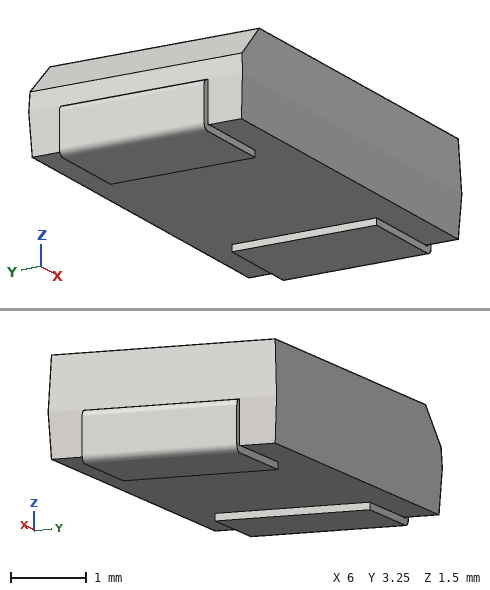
import cadquery as cq
import math

overall_length = 6.0
overall_height = 1.5

lead_thickness = 0.1
lead_width = 2.2
lead_top = 0.72
left_foot_length = 1.35
right_foot_length = 1.44

body_length = overall_length - 2 * lead_thickness
body_width = 3.25
body_bottom = lead_thickness
band_height = 0.02
band_bottom = lead_top
band_top = band_bottom + band_height
draft_inset = 0.0335
bevel_drop = 0.49


def tapered_half(start_z, height):
    """Return a half housing that narrows away from the parting band; negative height points down."""
    draft_angle = math.degrees(math.atan(draft_inset / abs(height)))
    return (
        cq.Workplane("XY")
        .workplane(offset=start_z)
        .rect(body_length, body_width)
        .extrude(height, taper=draft_angle)
    )


def bevel_cutter():
    """Return the wedge that slopes off the top edge at the -X end."""
    low_z = overall_height - bevel_drop
    low_inset = draft_inset * (low_z - band_top) / (overall_height - band_top)
    low_x = -body_length / 2 + low_inset
    top_x = low_x + bevel_drop
    margin = 0.06
    return (
        cq.Workplane("XZ")
        .moveTo(low_x - margin, low_z - margin)
        .lineTo(top_x + margin, overall_height + margin)
        .lineTo(low_x - margin, overall_height + margin)
        .close()
        .extrude(body_width / 2 + margin, both=True)
    )


def make_housing():
    band = (
        cq.Workplane("XY")
        .workplane(offset=band_bottom)
        .rect(body_length, body_width)
        .extrude(band_height)
    )
    lower_half = tapered_half(band_bottom, body_bottom - band_bottom)
    upper_half = tapered_half(band_top, overall_height - band_top)
    return band.union(lower_half).union(upper_half).cut(bevel_cutter())


def make_lead(side, foot_length):
    """Return an L-shaped lead; side is -1 for the -X end and +1 for the +X end."""
    outer_x = side * overall_length / 2
    inner_x = side * body_length / 2
    foot_end_x = outer_x - side * foot_length
    bend_radius = lead_thickness
    arc_inset = bend_radius * (1 - math.sqrt(0.5))
    return (
        cq.Workplane("XZ")
        .moveTo(inner_x, lead_top)
        .threePointArc(
            (outer_x - side * arc_inset, lead_top - arc_inset),
            (outer_x, lead_top - bend_radius),
        )
        .lineTo(outer_x, bend_radius)
        .threePointArc((outer_x - side * arc_inset, arc_inset), (inner_x, 0))
        .lineTo(foot_end_x, 0)
        .lineTo(foot_end_x, lead_thickness)
        .lineTo(inner_x, lead_thickness)
        .close()
        .extrude(lead_width / 2, both=True)
    )


housing = make_housing()
leads = [
    make_lead(side, foot_length)
    for side, foot_length in ((-1, left_foot_length), (1, right_foot_length))
]

result = cq.Compound.makeCompound([housing.solids().val(), *[lead.val() for lead in leads]])